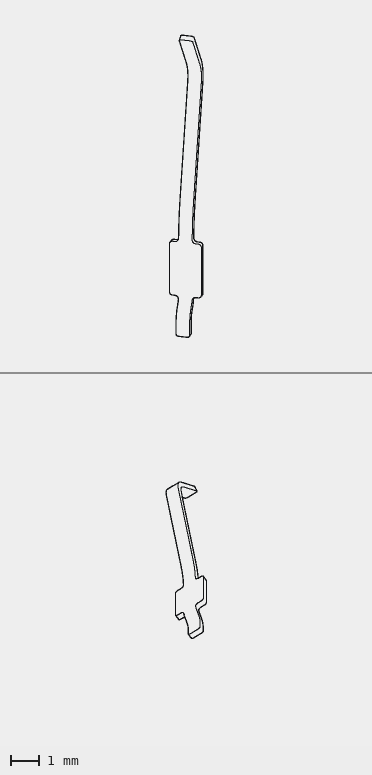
import cadquery as cq
import math

total_height = 11.0
thickness = 0.2
strip_width = 0.5
half_thickness = thickness / 2
end_corner_radius = 0.09

plate_width = 1.15
plate_bottom = 1.39
plate_top = 3.39
plate_corner_radius = 0.11
neck_fillet_radius = 0.13

foot_height = 0.5
foot_offset = 0.3
jog_angle = 34.0
foot_bend_radius = 0.92
plate_bend_radius = 0.55

arm_bend_radius = 6.71
arm_angle = 12.6
fold_start = 8.92
fold_radius = 1.0
tip_angle = 36.0


def heading(angle):
    """Unit (Y, Z) direction leaning from +Z towards +Y by an angle in degrees."""
    return math.sin(math.radians(angle)), math.cos(math.radians(angle))


def face_point(point, angle, side):
    """Point on the +Y (side = 1) or -Y (side = -1) face, square to the centreline."""
    sine, cosine = heading(angle)
    return point[0] + side * half_thickness * cosine, point[1] - side * half_thickness * sine


def advance(point, angle, length):
    sine, cosine = heading(angle)
    return point[0] + length * sine, point[1] + length * cosine


def straight_piece(start, angle, length):
    """Straight stretch of strip, returned with the end of its centreline."""
    end = advance(start, angle, length)
    corners = [
        face_point(start, angle, -1),
        face_point(end, angle, -1),
        face_point(end, angle, 1),
        face_point(start, angle, 1),
    ]
    piece = cq.Workplane("YZ").polyline(corners).close().extrude(plate_width / 2, both=True)
    return piece, end


def bent_piece(start, start_angle, end_angle, radius):
    """Bent stretch of strip, returned with the end of its centreline."""
    mean_angle = (start_angle + end_angle) / 2
    half_turn = math.radians(abs(end_angle - start_angle) / 2)
    end = advance(start, mean_angle, 2 * radius * math.sin(half_turn))
    side_of_bulge = 1 if end_angle < start_angle else -1
    bulge = radius * (1 - math.cos(half_turn))
    sine, cosine = heading(mean_angle)
    middle = (
        (start[0] + end[0]) / 2 + side_of_bulge * bulge * cosine,
        (start[1] + end[1]) / 2 - side_of_bulge * bulge * sine,
    )
    piece = (
        cq.Workplane("YZ")
        .moveTo(*face_point(start, start_angle, -1))
        .threePointArc(face_point(middle, mean_angle, -1), face_point(end, end_angle, -1))
        .lineTo(*face_point(end, end_angle, 1))
        .threePointArc(face_point(middle, mean_angle, 1), face_point(start, start_angle, 1))
        .close()
        .extrude(plate_width / 2, both=True)
    )
    return piece, end


def bent_sheet():
    """Full-width sheet that follows the side profile from foot to tip."""
    jog_sine, jog_cosine = heading(jog_angle)
    bend_shift = (foot_bend_radius + plate_bend_radius) * (1 - jog_cosine)
    jog_length = (foot_offset - bend_shift) / jog_sine

    foot, point = straight_piece((-foot_offset, 0), 0, foot_height)
    foot_bend, point = bent_piece(point, 0, jog_angle, foot_bend_radius)
    jog, point = straight_piece(point, jog_angle, jog_length)
    plate_bend, point = bent_piece(point, jog_angle, 0, plate_bend_radius)
    plate, point = straight_piece(point, 0, plate_top - point[1])
    arm_bend, point = bent_piece(point, 0, arm_angle, arm_bend_radius)
    arm_length = (fold_start - point[1]) / heading(arm_angle)[1]
    arm, point = straight_piece(point, arm_angle, arm_length)
    fold, point = bent_piece(point, arm_angle, -tip_angle, fold_radius)

    tip_sine, tip_cosine = heading(tip_angle)
    tip_length = (total_height - half_thickness * tip_sine - point[1]) / tip_cosine
    tip, _ = straight_piece(point, -tip_angle, tip_length)

    sheet = foot
    for piece in (foot_bend, jog, plate_bend, plate, arm_bend, arm, fold, tip):
        sheet = sheet.union(piece)
    return sheet


def blank_outline():
    """Plate with strips above and below, extruded through the whole sheet depth."""
    depth = total_height
    strip = cq.Workplane("XY").box(strip_width, depth, total_height, centered=(True, True, False))
    strip = strip.edges("|Y and <Z").fillet(end_corner_radius)
    plate = (
        cq.Workplane("XY", origin=(0, 0, plate_bottom))
        .box(plate_width, depth, plate_top - plate_bottom, centered=(True, True, False))
        .edges("|Y")
        .fillet(plate_corner_radius)
    )
    neck_edges = cq.selectors.BoxSelector(
        (-strip_width, -depth, plate_bottom - half_thickness),
        (strip_width, depth, plate_top + half_thickness),
    )
    return strip.union(plate).edges("|Y").edges(neck_edges).fillet(neck_fillet_radius)


def round_tip(body):
    """Round the two corners at the free end of the arm."""
    sine, cosine = heading(-tip_angle)
    through_thickness = cq.selectors.ParallelDirSelector(cq.Vector(0, cosine, -sine))
    return body.edges(through_thickness).edges(">Z").fillet(end_corner_radius)


result = round_tip(bent_sheet().intersect(blank_outline()))